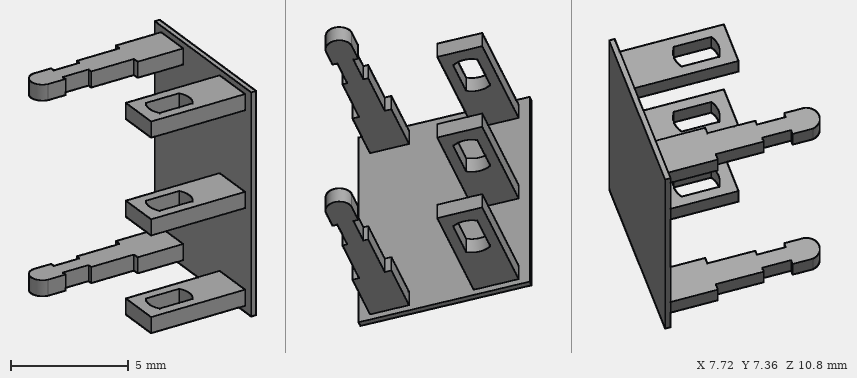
import cadquery as cq
import math

plate_width = 7.72
plate_height = 10.79
plate_thickness = 0.25

bar_thickness = 0.78
row_pitch = 4.705

leg_edge_distance = 1.40
leg_x = leg_edge_distance - plate_width / 2
leg_root_width = 1.76
leg_shank_width = 1.16
leg_neck_width = 0.73
leg_root_end = 2.54
leg_shank_end = 4.69
leg_neck_end = 5.98
leg_tip_end = 7.36
leg_tip_radius = 0.59

tab_edge_distance = 1.51
tab_x = plate_width / 2 - tab_edge_distance
tab_width = 2.03
tab_end = 4.98

window_diameter = 2.0
window_width = 1.09
window_distance = 3.42


def make_plate():
    return cq.Workplane("XY").box(
        plate_width, plate_thickness, plate_height
    ).translate((0, -plate_thickness / 2, 0))


def make_bar(center_x, center_z, width, start, end):
    """Rectangular bar that runs forward (-Y) from start to end."""
    return cq.Workplane("XY").box(width, end - start, bar_thickness).translate(
        (center_x, -(start + end) / 2, center_z)
    )


def make_leg_tip(center_z):
    """Leg head with straight sides and a round nose."""
    half_width = leg_shank_width / 2
    nose_depth = leg_tip_radius - math.sqrt(leg_tip_radius**2 - half_width**2)
    nose_start = leg_tip_end - nose_depth
    return (
        cq.Workplane("XY", origin=(leg_x, 0, center_z - bar_thickness / 2))
        .moveTo(-half_width, -leg_neck_end)
        .lineTo(-half_width, -nose_start)
        .threePointArc((0, -leg_tip_end), (half_width, -nose_start))
        .lineTo(half_width, -leg_neck_end)
        .close()
        .extrude(bar_thickness)
    )


def make_leg(center_z):
    root = make_bar(leg_x, center_z, leg_root_width, 0, leg_root_end)
    shank = make_bar(leg_x, center_z, leg_shank_width, leg_root_end, leg_shank_end)
    neck = make_bar(leg_x, center_z, leg_neck_width, leg_shank_end, leg_neck_end)
    return root.union(shank).union(neck).union(make_leg_tip(center_z))


def make_tab(center_z):
    blank = make_bar(tab_x, center_z, tab_width, 0, tab_end)
    window_radius = window_diameter / 2
    strip = make_bar(
        tab_x,
        center_z,
        window_width,
        window_distance - window_radius,
        window_distance + window_radius,
    )
    disc = (
        cq.Workplane("XY", origin=(tab_x, -window_distance, center_z - bar_thickness / 2))
        .circle(window_radius)
        .extrude(bar_thickness)
    )
    return blank.cut(strip.intersect(disc))


result = make_plate()
for leg_z in (-row_pitch, row_pitch):
    result = result.union(make_leg(leg_z))
for tab_z in (-row_pitch, 0, row_pitch):
    result = result.union(make_tab(tab_z))